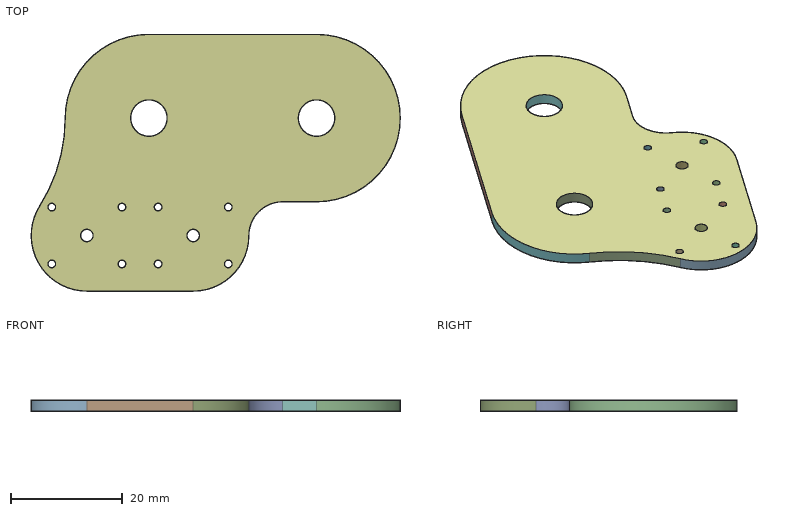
import cadquery as cq
import math

thickness = 2.0
upper_radius = 15.0
upper_spacing = 30.0
lower_radius = 10.0
lower_spacing = 19.0
lobe_drop = 21.0
lower_shift = 11.1

large_hole_diameter = 6.5
middle_hole_diameter = 2.2
small_hole_diameter = 1.3
small_hole_offset_x = 6.3
small_hole_offset_y = 5.1

upper_centers = [(0, 0), (upper_spacing, 0)]
lower_left_x = -lower_shift
lower_right_x = lower_left_x + lower_spacing
lower_centers = [(lower_left_x, -lobe_drop), (lower_right_x, -lobe_drop)]

right_blend_radius = lobe_drop - upper_radius
right_blend_x = lower_right_x + lower_radius + right_blend_radius

side_gap = lower_left_x + upper_radius
left_blend_radius = (side_gap**2 + lobe_drop**2 - lower_radius**2) / (2 * (lower_radius - side_gap))
left_blend_x = -upper_radius - left_blend_radius
left_blend_angle = math.degrees(math.atan2(-lobe_drop, lower_left_x - left_blend_x))


def on_circle(center, radius, angle):
    """Point on a circle at an angle in degrees, counter-clockwise from +X."""
    turn = math.radians(angle)
    return (center[0] + radius * math.cos(turn), center[1] + radius * math.sin(turn))


def add_arc(path, center, radius, start, end):
    """Continue the outline along a circle from the start angle to the end angle."""
    middle = on_circle(center, radius, (start + end) / 2)
    return path.threePointArc(middle, on_circle(center, radius, end))


def make_plate():
    """Extrude the outline, traced clockwise from the upper left corner arc."""
    path = cq.Workplane("XY").moveTo(-upper_radius, 0)
    path = add_arc(path, upper_centers[0], upper_radius, 180, 90)
    path = path.lineTo(upper_spacing, upper_radius)
    path = add_arc(path, upper_centers[1], upper_radius, 90, -90)
    path = path.lineTo(right_blend_x, -upper_radius)
    path = add_arc(path, (right_blend_x, -lobe_drop), right_blend_radius, 90, 180)
    path = add_arc(path, lower_centers[1], lower_radius, 0, -90)
    path = path.lineTo(lower_left_x, -lobe_drop - lower_radius)
    path = add_arc(path, lower_centers[0], lower_radius, -90, left_blend_angle - 180)
    path = add_arc(path, (left_blend_x, 0), left_blend_radius, left_blend_angle, 0)
    return path.close().extrude(thickness)


def drill(plate, centers, diameter):
    """Cut round through holes at the given centres."""
    drills = cq.Workplane("XY").pushPoints(centers).circle(diameter / 2).extrude(thickness)
    return plate.cut(drills)


small_hole_centers = [
    (x + side_x * small_hole_offset_x, y + side_y * small_hole_offset_y)
    for x, y in lower_centers
    for side_x in (-1, 1)
    for side_y in (-1, 1)
]

result = make_plate()
result = drill(result, upper_centers, large_hole_diameter)
result = drill(result, lower_centers, middle_hole_diameter)
result = drill(result, small_hole_centers, small_hole_diameter)